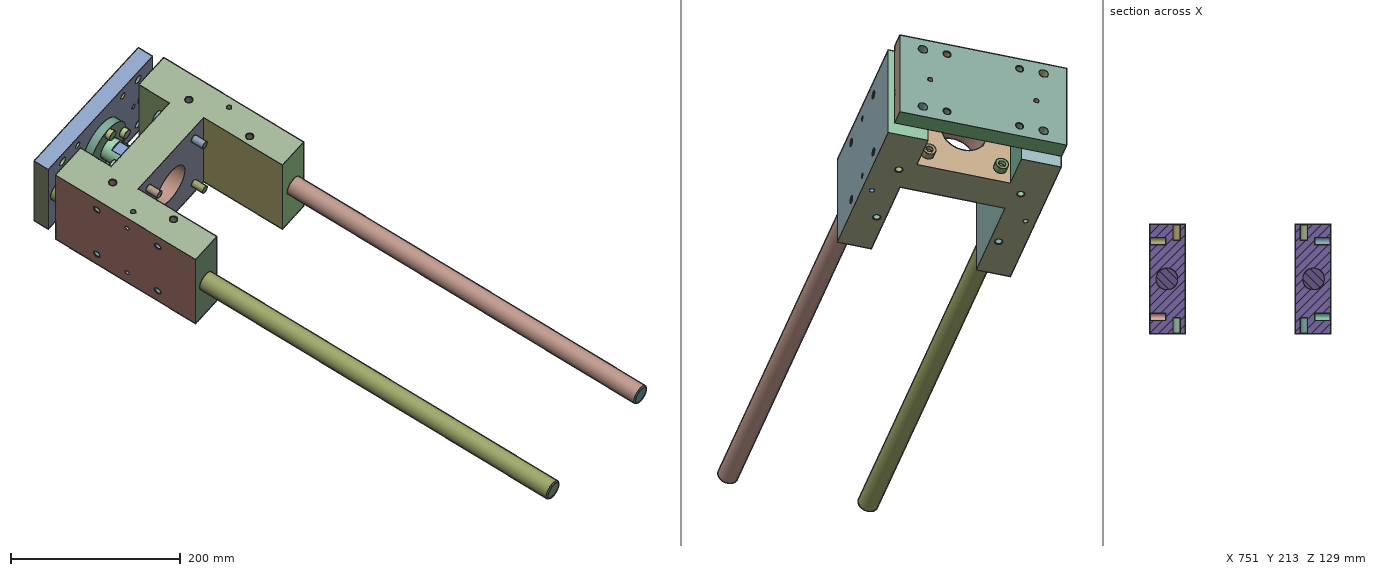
import cadquery as cq


block_start = 34.5
block_length = 206.0
block_width = 213.0
block_height = 129.0
web_start = 79.5
web_thickness = 45.0
web_bore_diameter = 55.0
front_recess_width = 115.0
rear_recess_width = 129.0
block_end = block_start + block_length
web_end = web_start + web_thickness

pitch = 89.0
half_pitch = pitch / 2
hole_centre_x = 140.0
thread_diameter = 8.0
thread_depth = 19.0
thread_mouth_diameter = 10.0
countersink_angle = 90
dowel_diameter = 6.0
dowel_depth = 10.0
top_thread_y = 75.0
top_dowel_y = 95.0

clamp_head_diameter = 16.0
clamp_head_height = 9.0
clamp_shank_diameter = 10.0
clamp_shank_protrusion = 16.5
clamp_socket_diameter = 8.0
clamp_socket_depth = 5.0

total_length = 751.0
rod_diameter = 25.0
rod_y = 86.0
rod_chamfer = 1.5

plate_thickness = 21.0
plate_width = 206.0
plate_height = 120.0
plate_outer_hole_diameter = 11.0
plate_outer_hole_y = 74.0
plate_dowel_y = 65.0

flange_diameter = 70.0
flange_thickness = 11.0
flange_head_diameter = 13.0
flange_head_height = 7.0
flange_end = plate_thickness + flange_thickness
flange_screw_radius = (flange_diameter - flange_head_diameter) / 2
hub_diameter = 29.0
hub_end = 57.0
hub_across_flats = 25.0
flat_length = 13.5


def box_x(start, length, width, height):
    """Box centred on the X axis, starting at X = start."""
    box = cq.Workplane("XY").box(length, width, height, centered=(False, True, True))
    return box.translate((start, 0, 0))


def cylinders_x(start, end, diameter, points):
    """Cylinders parallel to X at the given (Y, Z) points."""
    start_plane = cq.Workplane("YZ", origin=(start, 0, 0))
    return start_plane.pushPoints(points).circle(diameter / 2).extrude(end - start)


def grid(y, z):
    """Four points mirrored about both mid planes."""
    return [(-y, -z), (-y, z), (y, -z), (y, z)]


def drilled(body, face, points, diameter, depth):
    """Blind holes in a face; points are measured from the origin in the plane of that face."""
    face_plane = body.faces(face).workplane(centerOption="ProjectedOrigin", origin=(0, 0, 0))
    return face_plane.pushPoints(points).hole(diameter, depth)


def tapped(body, face, points, depth):
    """Thread core holes with a countersunk mouth."""
    face_plane = body.faces(face).workplane(centerOption="ProjectedOrigin", origin=(0, 0, 0))
    return face_plane.pushPoints(points).cskHole(thread_diameter, thread_mouth_diameter, countersink_angle, depth)


rod_points = [(-rod_y, 0), (rod_y, 0)]
clamp_points = grid(half_pitch, half_pitch)
thread_xs = [hole_centre_x - half_pitch, hole_centre_x + half_pitch]


def make_housing():
    body = box_x(block_start, block_length, block_width, block_height)
    body = body.cut(box_x(block_start, web_start - block_start, front_recess_width, block_height))
    body = body.cut(box_x(web_end, block_end - web_end, rear_recess_width, block_height))

    body = body.cut(cylinders_x(web_start, web_end, web_bore_diameter, [(0, 0)]))

    body = body.cut(cylinders_x(block_start, block_end, rod_diameter, rod_points))

    top_threads = [(x, y) for x in thread_xs for y in (-top_thread_y, top_thread_y)]
    top_dowels = [(hole_centre_x, y) for y in (-top_dowel_y, top_dowel_y)]
    for face in (">Z", "<Z"):
        body = tapped(body, face, top_threads, thread_depth)
        body = drilled(body, face, top_dowels, dowel_diameter, dowel_depth)

    side_hole_zs = (-half_pitch, half_pitch)
    for face, x_direction in (("<Y", 1), (">Y", -1)):
        side_threads = [(x_direction * x, z) for x in thread_xs for z in side_hole_zs]
        side_dowels = [(x_direction * hole_centre_x, z) for z in side_hole_zs]
        body = tapped(body, face, side_threads, thread_depth)
        body = drilled(body, face, side_dowels, dowel_diameter, dowel_depth)

    head_start = web_start - clamp_head_height
    shank_end = web_end + clamp_shank_protrusion
    body = body.union(cylinders_x(head_start, web_start, clamp_head_diameter, clamp_points))
    body = body.union(cylinders_x(web_end, shank_end, clamp_shank_diameter, clamp_points))
    socket_end = head_start + clamp_socket_depth
    return body.cut(cylinders_x(head_start, socket_end, clamp_socket_diameter, clamp_points))


def make_coupling():
    flange = cylinders_x(plate_thickness, flange_end, flange_diameter, [(0, 0)])
    r = flange_screw_radius
    screw_points = [(r, 0), (-r, 0), (0, r), (0, -r)]
    heads = cylinders_x(flange_end, flange_end + flange_head_height, flange_head_diameter, screw_points)
    hub = cylinders_x(flange_end, hub_end, hub_diameter, [(0, 0)])

    flats = box_x(hub_end - flat_length, flat_length, hub_diameter, hub_diameter)
    flats = flats.cut(box_x(hub_end - flat_length, flat_length, hub_diameter, hub_across_flats))
    return flange.union(heads).union(hub.cut(flats))


def make_slide():
    plate = box_x(0, plate_thickness, plate_width, plate_height)
    outer_points = grid(plate_outer_hole_y, half_pitch)
    dowel_points = [(-plate_dowel_y, 0), (plate_dowel_y, 0)]
    plate = plate.cut(cylinders_x(0, plate_thickness, plate_outer_hole_diameter, outer_points))
    plate = tapped(plate, "<X", clamp_points, plate_thickness)
    plate = plate.cut(cylinders_x(0, plate_thickness, dowel_diameter, dowel_points))
    rods = cylinders_x(plate_thickness, total_length, rod_diameter, rod_points)
    rods = rods.faces(">X").chamfer(rod_chamfer)
    return plate.union(rods).union(make_coupling())


housing = make_housing()
slide = make_slide()
result = cq.Compound.makeCompound([housing.val(), slide.val()])